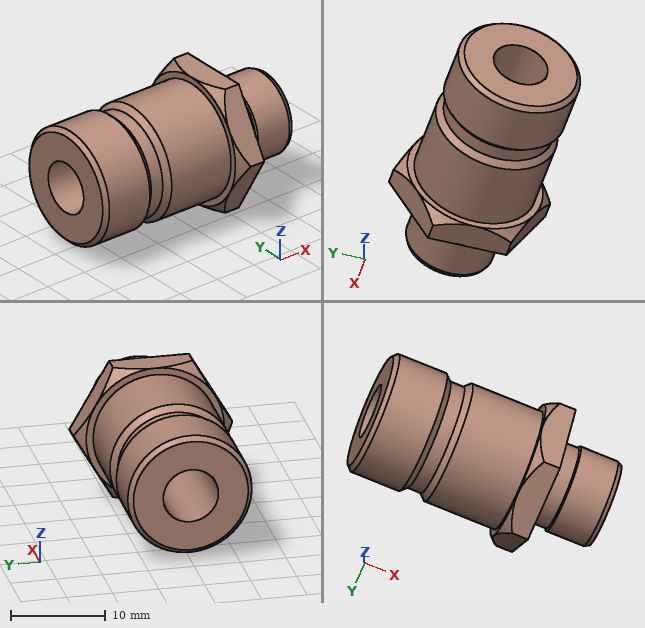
import cadquery as cq
import math

total_length = 27.0
bore_radius = 3.0

plug_radius = 6.75
plug_length = 17.0
plug_end_chamfer = 0.5
groove_radius = 6.1
groove_start = 6.0
groove_floor_start = 6.7
groove_floor_end = 8.25
groove_end = 8.96

hex_across_flats = 15.0
hex_thickness = 3.0

thread_radius = 4.85
thread_start = 22.09
undercut_radius = 4.62
undercut_runout = 0.14
thread_end_chamfer_length = 0.5
thread_end_radius = 4.62

hex_end = plug_length + hex_thickness
hex_corner_radius = hex_across_flats / 2 / math.cos(math.pi / 6)


def revolve_about_x(profile):
    """Turn a closed (x, radius) profile into a solid of revolution about X."""
    return cq.Workplane("XY").polyline(profile).close().revolve(360, (0, 0, 0), (1, 0, 0))


def turned_body():
    """Plug, groove, undercut and thread cylinder as one turned profile."""
    return revolve_about_x([
        (0, bore_radius),
        (0, plug_radius - plug_end_chamfer),
        (plug_end_chamfer, plug_radius),
        (groove_start, plug_radius),
        (groove_floor_start, groove_radius),
        (groove_floor_end, groove_radius),
        (groove_end, plug_radius),
        (hex_end, plug_radius),
        (hex_end, undercut_radius),
        (thread_start, undercut_radius),
        (thread_start + undercut_runout, thread_radius),
        (total_length - thread_end_chamfer_length, thread_radius),
        (total_length, thread_end_radius),
        (total_length, bore_radius),
    ])


def hex_collar():
    """Bored hexagon whose corners on the plug side are cut by a 45 degree cone."""
    hexagon = (
        cq.Workplane("YZ", origin=(plug_length, 0, 0))
        .polygon(6, 2 * hex_corner_radius)
        .circle(bore_radius)
        .extrude(hex_thickness)
    )
    face_radius = hex_across_flats / 2
    cone_envelope = revolve_about_x([
        (plug_length, 0),
        (plug_length, face_radius),
        (hex_end, face_radius + hex_thickness),
        (hex_end, 0),
    ])
    return hexagon.intersect(cone_envelope)


result = turned_body().union(hex_collar())